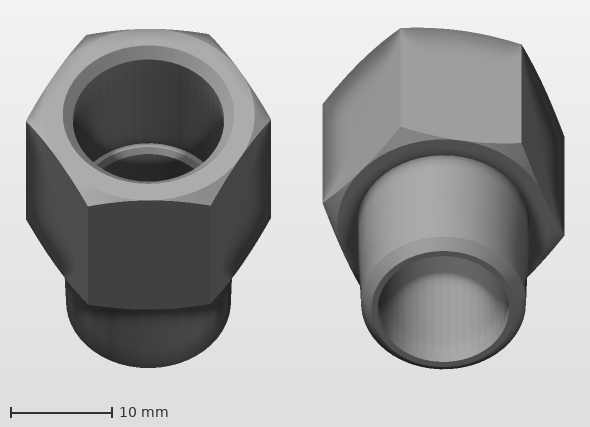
import cadquery as cq
import math

across_flats = 21.0
across_corners = across_flats / math.cos(math.radians(30))
total_height = 32.3
spigot_length = 14.0
hex_height = total_height - spigot_length
corner_bevel_angle = 30.0

spigot_end_diameter = 16.3
spigot_chamfer_height = 1.0
spigot_taper = 1 / 16
spigot_root_diameter = spigot_end_diameter + spigot_taper * (spigot_length - spigot_chamfer_height)
spigot_tip_diameter = 14.25

through_diameter = 13.0
socket_diameter = 14.95
socket_depth = 15.0
mouth_diameter = 16.95
step_chamfer_diameter = 14.0


def revolve_profile(points):
    """Revolve a closed (radius, height) outline about the Z axis."""
    return cq.Workplane("YZ").polyline(points).close().revolve(360, (0, 0), (0, 1))


def hexagon():
    """Hexagon with corners on the X axis, bevelled at both ends down to the across-flats circle."""
    flat_radius = across_flats / 2
    corner_radius = across_corners / 2
    bevel_height = (corner_radius - flat_radius) * math.tan(math.radians(corner_bevel_angle))
    prism = (
        cq.Workplane("XY")
        .workplane(offset=spigot_length)
        .polygon(6, across_corners)
        .extrude(hex_height)
    )
    envelope = revolve_profile([
        (0, spigot_length),
        (flat_radius, spigot_length),
        (corner_radius, spigot_length + bevel_height),
        (corner_radius, total_height - bevel_height),
        (flat_radius, total_height),
        (0, total_height),
    ])
    return prism.intersect(envelope)


def spigot():
    """Tapered round end with a chamfered tip at Z = 0."""
    return revolve_profile([
        (0, 0),
        (spigot_tip_diameter / 2, 0),
        (spigot_end_diameter / 2, spigot_chamfer_height),
        (spigot_root_diameter / 2, spigot_length),
        (0, spigot_length),
    ])


def bore():
    """Through hole, wider socket with a countersunk mouth, and a chamfer on the step between them."""
    through_radius = through_diameter / 2
    socket_radius = socket_diameter / 2
    mouth_radius = mouth_diameter / 2
    step_chamfer_radius = step_chamfer_diameter / 2
    socket_floor = total_height - socket_depth
    mouth_depth = mouth_radius - socket_radius
    step_chamfer_height = step_chamfer_radius - through_radius
    return revolve_profile([
        (0, 0),
        (through_radius, 0),
        (through_radius, socket_floor - step_chamfer_height),
        (step_chamfer_radius, socket_floor),
        (socket_radius, socket_floor),
        (socket_radius, total_height - mouth_depth),
        (mouth_radius, total_height),
        (0, total_height),
    ])


result = hexagon().union(spigot()).cut(bore())